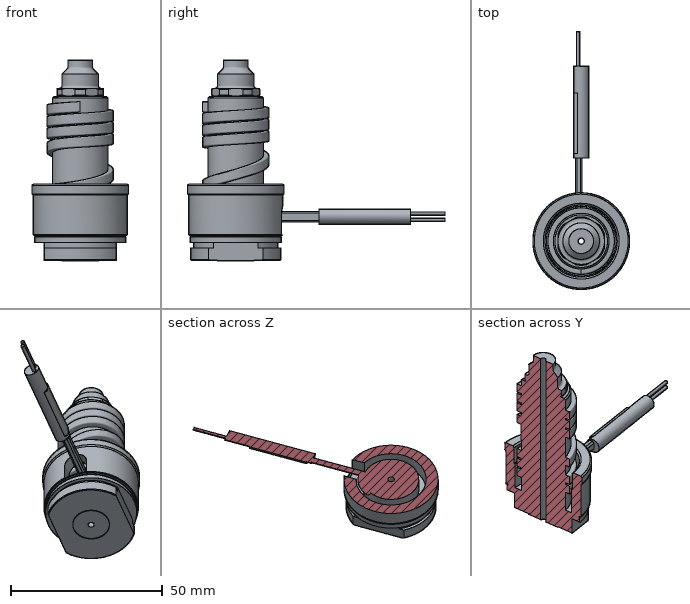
import cadquery as cq
import math

total_height = 66.2
base_top = 25.4

flange_radius = 16.0
flange_bottom = 21.8
flange_top_chamfer = 0.5
cup_radius = 15.55
cup_bottom = 8.5
cup_edge_chamfer = 0.25
groove_radius = 14.7
groove_height = 0.3
collar_radius = 15.05
collar_top = cup_bottom - groove_height
collar_bottom = 6.1
cavity_radius = 11.9
cavity_lower_radius = 11.5
cavity_mouth_chamfer = 0.6
cavity_floor = 8.7

foot_neck_radius = 13.9
foot_radius = 14.9
foot_neck_bottom = 4.3
foot_bottom = 0.25
foot_chamfer = 0.25
foot_half_width = 11.9
pad_radius = 6.0

body_radius = 9.2
body_top = 54.2
body_top_chamfer = 0.5
hex_across_flats = 15.2
hex_corner_radius = 8.0
hex_bottom = 54.4
hex_top = 56.95
hex_chamfer = 0.3
head_radius = 6.0
head_top = 61.6
head_fillet = 0.85
tip_radius = 4.1
tip_fillet = 0.9
bore_radius = 0.98

coil_radius = 11.0
coil_embed = 0.25
coil_height = 3.5
coil_edge_fillet = 0.4
coil_pitch = 3.87
coil_top = 50.8
upper_turns = 3.05
stretched_turns = 1.1
lower_turns = 2.35
stretch_section_count = 23
coil_start_angle = -90.0

lead_height = 14.6
lead_size = (2.3, 3.6)
lead_x = -0.81
lead_chamfer = 0.6
exit_slot_radius = 3.8
sleeve_radius = 2.51
sleeve_start = 27.4
sleeve_end = 57.6
block_start = 28.9
block_end = 48.9
block_inner_x = -1.2
block_height = 4.5
block_edge_fillet = 0.9
wire_radius = 0.6
wire_spacing = 2.0
wire_x = -1.0
wire_end = 85 - flange_radius
joint_overlap = 0.85

upper_end = coil_top - coil_pitch * upper_turns
lower_start = lead_height + coil_pitch * lower_turns


def cylinder(radius, bottom, top):
    return cq.Workplane("XY").workplane(offset=bottom).circle(radius).extrude(top - bottom)


def revolve(outline):
    return outline.close().revolve(360, (0, 0), (0, 1))


def make_base():
    cavity_step = lead_height + exit_slot_radius
    flange_corner = flange_radius - cup_radius
    profile = [
        (0, 0),
        (pad_radius, 0),
        (pad_radius, foot_bottom),
        (foot_radius - foot_chamfer, foot_bottom),
        (foot_radius, foot_bottom + foot_chamfer),
        (foot_radius, foot_neck_bottom),
        (foot_neck_radius, foot_neck_bottom),
        (foot_neck_radius, collar_bottom),
        (collar_radius, collar_bottom),
        (collar_radius, collar_top - cup_edge_chamfer),
        (collar_radius - cup_edge_chamfer, collar_top),
        (groove_radius, collar_top),
        (groove_radius, cup_bottom),
        (cup_radius - cup_edge_chamfer, cup_bottom),
        (cup_radius, cup_bottom + cup_edge_chamfer),
        (cup_radius, flange_bottom),
        (flange_radius, flange_bottom + flange_corner),
        (flange_radius, base_top - flange_top_chamfer),
        (flange_radius - flange_top_chamfer, base_top),
        (cavity_radius + cavity_mouth_chamfer, base_top),
        (cavity_radius, base_top - cavity_mouth_chamfer),
        (cavity_radius, cavity_step),
        (cavity_lower_radius, cavity_step),
        (cavity_lower_radius, cavity_floor),
        (0, cavity_floor),
    ]
    base = revolve(cq.Workplane("XZ").polyline(profile)).cut(make_exit_slot())
    for side in (-1, 1):
        base = base.cut(make_flat_cutter(side))
    return base


def make_flat_cutter(side):
    cutter_width = foot_radius
    center_x = side * (foot_half_width + cutter_width / 2)
    return cq.Workplane("XY").center(center_x, 0).rect(cutter_width, 2 * foot_radius).extrude(collar_bottom)


def make_exit_slot():
    """Round-topped slot through the +Y wall of the cup."""
    return (
        cq.Workplane("XZ")
        .moveTo(-exit_slot_radius, cavity_floor)
        .lineTo(exit_slot_radius, cavity_floor)
        .lineTo(exit_slot_radius, lead_height)
        .threePointArc((0, lead_height + exit_slot_radius), (-exit_slot_radius, lead_height))
        .close()
        .extrude(-flange_radius)
    )


def make_body():
    shank = cylinder(body_radius, collar_bottom, body_top).faces(">Z").chamfer(body_top_chamfer)
    hex_diameter = hex_across_flats / math.cos(math.radians(30))
    hexagon = (
        cq.Workplane("XY")
        .workplane(offset=hex_bottom)
        .polygon(6, hex_diameter)
        .extrude(hex_top - hex_bottom)
        .rotate((0, 0, 0), (0, 0, 1), 30)
    )
    hex_limit = cylinder(hex_corner_radius, hex_bottom, hex_top).faces("<Z or >Z").chamfer(hex_chamfer)
    neck = cylinder(hex_across_flats / 2 - hex_chamfer, body_top, hex_bottom)
    return shank.union(neck).union(hexagon.intersect(hex_limit))


def make_head():
    diagonal = math.sqrt(0.5)
    cone_start = tip_radius + tip_fillet * (1 - diagonal)
    cone_top = head_top + head_radius - cone_start
    fillet_end = cone_top + tip_fillet * diagonal
    half_angle = math.radians(22.5)
    tip_arc_middle = (
        tip_radius + tip_fillet * (1 - math.cos(half_angle)),
        fillet_end - tip_fillet * math.sin(half_angle),
    )
    head_arc_offset = head_fillet * (1 - diagonal)
    profile = (
        cq.Workplane("XZ")
        .moveTo(0, hex_top)
        .lineTo(head_radius + head_fillet, hex_top)
        .threePointArc(
            (head_radius + head_arc_offset, hex_top + head_arc_offset),
            (head_radius, hex_top + head_fillet),
        )
        .lineTo(head_radius, head_top)
        .lineTo(cone_start, cone_top)
        .threePointArc(tip_arc_middle, (tip_radius, fillet_end))
        .lineTo(tip_radius, total_height)
        .lineTo(0, total_height)
    )
    return revolve(profile)


def coil_angle(turns):
    return coil_start_angle - 360 * turns


def stretched_height(fraction):
    """Height along the stretched turn: it leaves and joins the tight turns at their own slope."""
    ease = 3 * fraction**2 - 2 * fraction**3
    slope_drop = coil_pitch * stretched_turns * (fraction - ease)
    return upper_end - (upper_end - lower_start) * ease - slope_drop


def coil_section(turns, height):
    """Coil cross-section in the radial plane at the given number of turns from the top end."""
    inner = body_radius - coil_embed
    fillet = coil_edge_fillet
    bottom = height - coil_height / 2
    top = height + coil_height / 2
    bulge = fillet * (1 - math.sqrt(0.5))
    plane = cq.Plane(origin=(0, 0, 0), xDir=(1, 0, 0), normal=(0, -1, 0)).rotated((0, coil_angle(turns), 0))
    return (
        cq.Workplane(plane)
        .moveTo(inner, bottom)
        .lineTo(coil_radius - fillet, bottom)
        .threePointArc((coil_radius - bulge, bottom + bulge), (coil_radius, bottom + fillet))
        .lineTo(coil_radius, top - fillet)
        .threePointArc((coil_radius - bulge, top - bulge), (coil_radius - fillet, top))
        .lineTo(inner, top)
        .close()
    )


def tight_turns(turns, end_turns, bottom_height):
    helix = cq.Wire.makeHelix(coil_pitch, coil_pitch * turns, body_radius)
    helix = helix.rotate(cq.Vector(0, 0, 0), cq.Vector(0, 0, 1), coil_angle(end_turns))
    helix = helix.translate(cq.Vector(0, 0, bottom_height))
    return coil_section(end_turns, bottom_height).sweep(cq.Workplane(helix), isFrenet=True)


def stretched_turn():
    sections = []
    for i in range(stretch_section_count):
        fraction = i / (stretch_section_count - 1)
        section = coil_section(upper_turns + fraction * stretched_turns, stretched_height(fraction))
        sections.append(section.val())
    return cq.Workplane(cq.Solid.makeLoft(sections))


def make_coil():
    upper = tight_turns(upper_turns, upper_turns, upper_end)
    lower = tight_turns(lower_turns, upper_turns + stretched_turns + lower_turns, lead_height)
    return [upper, stretched_turn(), lower]


def along_y(start, x=0.0, z=lead_height):
    return cq.Workplane(cq.Plane(origin=(x, start, z), xDir=(1, 0, 0), normal=(0, 1, 0)))


def make_connection():
    """Flat lead from the coil, the sleeve with its side block, and the two wires."""
    lead = along_y(body_radius, lead_x).rect(*lead_size).extrude(sleeve_end - body_radius - joint_overlap)
    lead = lead.edges("|Y").chamfer(lead_chamfer)
    sleeve = along_y(sleeve_start).circle(sleeve_radius).extrude(sleeve_end - sleeve_start)
    block_width = block_inner_x + sleeve_radius
    block = along_y(block_start, block_inner_x - block_width / 2).rect(block_width, block_height)
    block = block.extrude(block_end - block_start).edges("|Y and <X").fillet(block_edge_fillet)
    connection = sleeve.union(block).union(lead)
    for side in (-1, 1):
        wire = along_y(sleeve_end - joint_overlap, wire_x, lead_height + side * wire_spacing / 2)
        connection = connection.union(wire.circle(wire_radius).extrude(wire_end - sleeve_end + joint_overlap))
    return connection


bore = cylinder(bore_radius, 0, total_height)
result = make_body().union(make_head()).cut(bore)
for coil_part in make_coil():
    result = result.union(coil_part)
result = result.union(make_connection())
result = result.union(make_base().cut(bore))